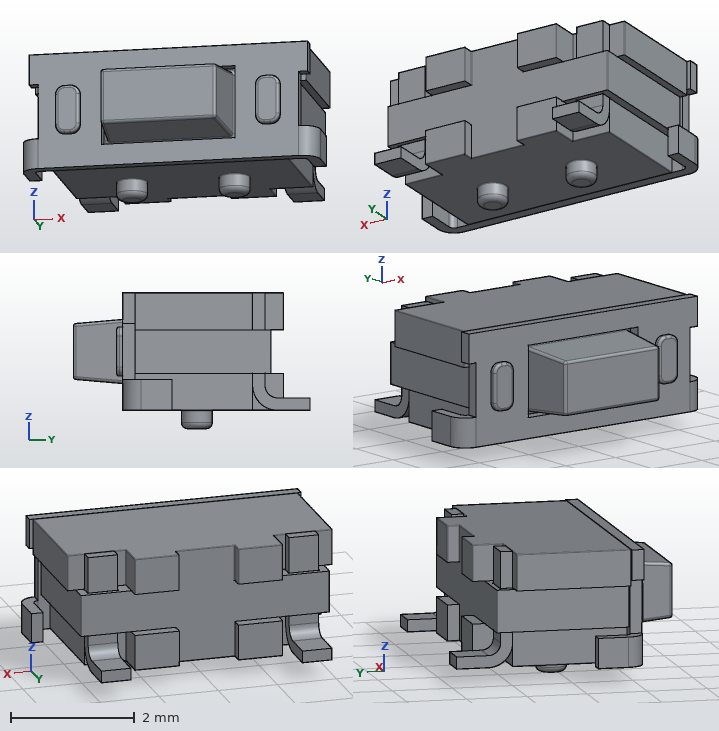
import cadquery as cq
import math


body_height = 1.9
lower_height = 0.6
upper_bottom = 1.3

sheet = 0.2
plate_head_half_width = 2.3
plate_head_bottom = 1.4
ear_half_span = 2.45
ear_height = 0.5
ear_length = 0.8
ear_bend_outer = 0.3
ear_bend_inner = ear_bend_outer - sheet
plate_half_width = ear_half_span - ear_bend_outer

window_width = 2.2
window_height = 1.2
window_z = 0.95

button_front_width = 1.9
button_front_height = 0.9
button_reach = 0.8
button_base_y = 0.6
button_draft = 5.0
button_round = 0.05

upper_half_width = 2.24
middle_half_width = 2.1
lower_half_width = 1.95
shoulder_y = 2.1
core_half_width = 1.25
core_y = 2.4
post_inner_x = 0.5
post_y = 2.6
edge_round = 0.01

stud_x = 1.65
stud_width = 0.4
stud_height = 0.8
stud_corner = 0.15
stud_projection = 0.1
stud_round = 0.05

peg_x = 0.85
peg_y = 1.2
peg_diameter = 0.5
peg_length = 0.3
peg_round = 0.1

terminal_x = 1.7
terminal_width = 0.5
terminal_clearance = 0.01
terminal_end_y = 3.035
terminal_bend_inner = 0.2
terminal_bend_outer = terminal_bend_inner + sheet


diagonal = math.sqrt(0.5)


def block(x_min, x_max, y_min, y_max, z_min, z_max):
    """Axis-aligned box given by its limits."""
    size = (x_max - x_min, y_max - y_min, z_max - z_min)
    return cq.Workplane("XY").box(*size, centered=False).translate((x_min, y_min, z_min))


def stud_prism(y_front, y_back):
    """Both stud outlines with rounded corners, running from y_front to y_back."""
    return (
        cq.Workplane("XZ", origin=(0, y_back, window_z))
        .pushPoints([(-stud_x, 0), (stud_x, 0)])
        .rect(stud_width, stud_height)
        .extrude(y_back - y_front)
        .edges("|Y")
        .fillet(stud_corner)
    )


def window_prism(y_front, y_back):
    """Rectangular opening around the button, running from y_front to y_back."""
    return (
        cq.Workplane("XZ", origin=(0, y_back, window_z))
        .rect(window_width, window_height)
        .extrude(y_back - y_front)
    )


def stepped_layer(half_width, z_min, z_max):
    """Housing layer with side shoulders, a deeper core and two rear posts."""
    layer = block(-half_width, half_width, sheet, shoulder_y, z_min, z_max)
    layer = layer.union(block(-core_half_width, core_half_width, sheet, core_y, z_min, z_max))
    for inner, outer in ((-core_half_width, -post_inner_x), (post_inner_x, core_half_width)):
        layer = layer.union(block(inner, outer, sheet, post_y, z_min, z_max))
    return layer


def terminal_slots():
    """Slots through the middle layer with a little play beside and behind each terminal leg."""
    half_width = terminal_width / 2 + terminal_clearance
    slot_y = shoulder_y + sheet + terminal_clearance
    left, right = [
        block(x - half_width, x + half_width, shoulder_y, slot_y, lower_height, upper_bottom)
        for x in (-terminal_x, terminal_x)
    ]
    return left.union(right)


def add_pegs(layer):
    """Add both locating pegs under a layer, with a fine root fillet and rounded tips."""
    pegs = (
        cq.Workplane("XY", origin=(0, peg_y, -peg_length))
        .pushPoints([(-peg_x, 0), (peg_x, 0)])
        .circle(peg_diameter / 2)
        .extrude(peg_length)
    )
    layer = layer.union(pegs)
    layer = layer.edges("%CIRCLE and (not <Z)").fillet(edge_round)
    return layer.faces("<Z").edges().fillet(peg_round)


def make_housing():
    lower = stepped_layer(lower_half_width, 0, lower_height)
    middle = block(-middle_half_width, middle_half_width, sheet, core_y, lower_height, upper_bottom)
    upper = stepped_layer(upper_half_width, upper_bottom, body_height)
    middle = middle.edges("|Z").fillet(edge_round).cut(terminal_slots())
    upper = upper.edges("|Z or >Z").fillet(edge_round)
    lower = add_pegs(lower.edges("<Z").fillet(edge_round))

    body = lower.union(middle).union(upper).cut(window_prism(sheet, button_base_y))
    studs = stud_prism(-stud_projection, sheet).faces("<Y").edges().fillet(stud_round)
    return body.union(studs)


def make_ear():
    """Right-hand ear: a quarter bend followed by a straight flank."""
    bend_x = plate_half_width
    bend_y = ear_bend_outer
    outer_mid = (bend_x + ear_bend_outer * diagonal, bend_y - ear_bend_outer * diagonal)
    inner_mid = (bend_x + ear_bend_inner * diagonal, bend_y - ear_bend_inner * diagonal)
    return (
        cq.Workplane("XY")
        .moveTo(bend_x, 0)
        .threePointArc(outer_mid, (ear_half_span, bend_y))
        .lineTo(ear_half_span, ear_length)
        .lineTo(ear_half_span - sheet, ear_length)
        .lineTo(ear_half_span - sheet, bend_y)
        .threePointArc(inner_mid, (bend_x, sheet))
        .close()
        .extrude(ear_height)
    )


def make_plate():
    plate = block(-plate_half_width, plate_half_width, 0, sheet, 0, body_height)
    plate = plate.union(
        block(-plate_head_half_width, plate_head_half_width, 0, sheet, plate_head_bottom, body_height)
    )
    ear = make_ear()
    plate = plate.union(ear).union(ear.mirror("YZ"))
    return plate.cut(window_prism(0, sheet)).cut(stud_prism(0, sheet))


def make_button():
    """Drafted push block on a plain base that fills the housing pocket."""
    length = button_reach + sheet
    flare = 2 * length * math.tan(math.radians(button_draft))
    root_width = button_front_width + flare
    root_height = button_front_height + flare
    push_block = (
        cq.Workplane("XZ", origin=(0, sheet, window_z))
        .rect(root_width, root_height)
        .extrude(length, taper=button_draft)
    )
    button = push_block.union(window_prism(sheet, button_base_y))

    limit_x = (root_width + window_width) / 4
    limit_z = (root_height + window_height) / 4
    push_block_edges = cq.selectors.BoxSelector(
        (-limit_x, -2 * button_reach, window_z - limit_z),
        (limit_x, 2 * sheet, window_z + limit_z),
    )
    return button.edges(push_block_edges).fillet(button_round)


def make_terminal(x):
    """Strip that stands in its housing slot and bends backward into a solder foot."""
    bend_y = shoulder_y + terminal_bend_outer
    bend_z = terminal_bend_outer
    outer_mid = (bend_y - terminal_bend_outer * diagonal, bend_z - terminal_bend_outer * diagonal)
    inner_mid = (bend_y - terminal_bend_inner * diagonal, bend_z - terminal_bend_inner * diagonal)
    return (
        cq.Workplane("YZ", origin=(x - terminal_width / 2, 0, 0))
        .moveTo(shoulder_y, body_height)
        .lineTo(shoulder_y, bend_z)
        .threePointArc(outer_mid, (bend_y, 0))
        .lineTo(terminal_end_y, 0)
        .lineTo(terminal_end_y, sheet)
        .lineTo(bend_y, sheet)
        .threePointArc(inner_mid, (shoulder_y + sheet, bend_z))
        .lineTo(shoulder_y + sheet, body_height)
        .close()
        .extrude(terminal_width)
    )


housing = make_housing()
plate = make_plate()
button = make_button()
terminals = [make_terminal(x) for x in (-terminal_x, terminal_x)]

result = cq.Compound.makeCompound(
    [housing.val(), plate.val(), button.val(), *[terminal.val() for terminal in terminals]]
)